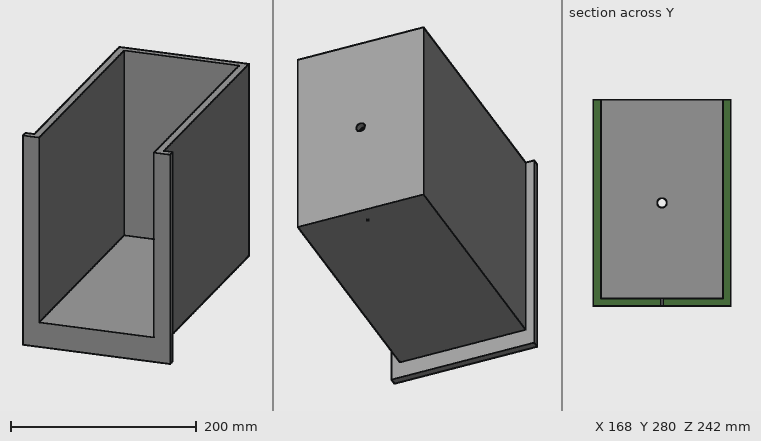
import cadquery as cq

wall = 8.4
body_width = 148.0
body_height = 222.0
body_length = 280.0
flange_overhang = 10.0
flange_drop = 20.0
back_hole_diameter = 10.0
floor_hole_diameter = 2.5
floor_hole_from_back = 19.0

flange_width = body_width + 2 * flange_overhang
flange_height = body_height + flange_drop
cavity_width = body_width - 2 * wall
cavity_length = body_length - wall
cavity_height = body_height - wall


def box_from_front(width, length, height, bottom):
    """Box centred on X that starts at the front face, Y = 0."""
    return cq.Workplane("XY", origin=(0, 0, bottom)).box(
        width, length, height, centered=(True, False, False)
    )


def make_tray():
    """Box with a front flange, open at the top and at the front."""
    body = box_from_front(body_width, body_length, body_height, 0)
    flange = box_from_front(flange_width, wall, flange_height, -flange_drop)
    cavity = box_from_front(cavity_width, cavity_length, cavity_height, wall)
    return body.union(flange).cut(cavity)


def make_back_hole():
    """Round hole through the middle of the back wall."""
    back_plane = cq.Workplane("XZ", origin=(0, body_length, body_height / 2))
    return back_plane.circle(back_hole_diameter / 2).extrude(wall)


def make_floor_hole():
    """Small round hole through the floor near the back wall."""
    floor_plane = cq.Workplane("XY", origin=(0, body_length - floor_hole_from_back, 0))
    return floor_plane.circle(floor_hole_diameter / 2).extrude(wall)


result = make_tray().cut(make_back_hole()).cut(make_floor_hole())